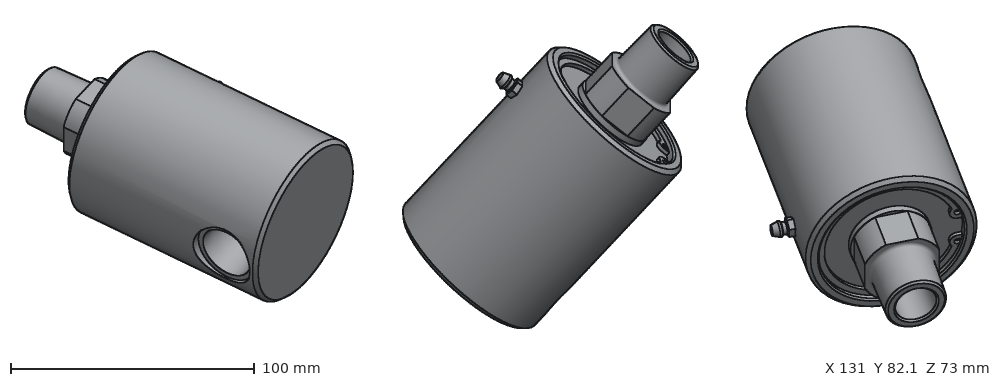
import cadquery as cq
import math


housing_start = 36.9
housing_end = 131.0
housing_radius = 73.0 / 2
housing_chamfer = 1.7

recess_radius = 31.0
recess_depth = 4.3
recess_chamfer = 0.8

ring_thickness = 1.7
ring_inner_radius = 28.2
ear_radius = 3.4
ear_offset_y = -28.5
ear_offset_z = 8.4
ear_hole_radius = 2.8 / 2

nose_tip_radius = 13.0
nose_root_radius = 13.5
nose_chamfer = 0.9
shoulder_start = 21.7
shoulder_fillet = 1.5
collar_start = 38.4
collar_radius = 17.4
shoulder_radius = 17.3
flat_distance = 15.8
bore_radius = 8.8
bore_chamfer = 0.8
bore_depth = 65.5

port_x = 114.0
port_mouth_radius = 23.5 / 2
port_end_radius = 22.7 / 2
port_core_radius = 18.6
spotface_radius = 14.0
spotface_depth = 3.8

nipple_x = 57.8
overall_width = 82.1
nipple_top = overall_width - housing_radius
nipple_tip_radius = 4.6 / 2
nipple_head_radius = 7.0 / 2
nipple_rim_radius = 3.3
nipple_rim_top = 42.8
nipple_rim_bottom = 41.8
nipple_neck_radius = 5.4 / 2
nipple_neck_top = 41.4
nipple_neck_bottom = 39.7
nipple_foot_radius = 3.0
nipple_hex_top = 39.0
nipple_hex_width = 7.2
nipple_embed = 2.6

recess_floor = housing_start + recess_depth
ring_face = recess_floor - ring_thickness


def rod(x_start, x_end, radius):
    """Solid cylinder on the X axis."""
    return cq.Workplane("YZ", origin=(x_start, 0, 0)).circle(radius).extrude(x_end - x_start)


def chamfered_hole(mouth_center, direction, radius, depth, chamfer):
    """Cutting tool for a blind hole with a chamfered mouth."""
    start = cq.Vector(mouth_center)
    axis = cq.Vector(direction)
    shaft = cq.Solid.makeCylinder(radius, depth, start, axis)
    mouth = cq.Solid.makeCone(radius + chamfer, radius, chamfer, start, axis)
    return cq.Workplane(shaft).union(cq.Workplane(mouth))


def make_housing():
    body = rod(housing_start, housing_end, housing_radius).faces("<X or >X").chamfer(housing_chamfer)
    recess = chamfered_hole(
        (housing_start, 0, 0), (1, 0, 0), recess_radius, recess_depth, recess_chamfer
    )
    return body.cut(recess)


def make_retaining_ring():
    plane = cq.Workplane("YZ", origin=(ring_face, 0, 0))
    ring = plane.circle(recess_radius).circle(ring_inner_radius).extrude(ring_thickness)
    gap = plane.center(-recess_radius, 0).rect(recess_radius, 2 * ear_offset_z).extrude(ring_thickness)
    ear_centers = [(ear_offset_y, side * ear_offset_z) for side in (-1, 1)]
    ears = plane.pushPoints(ear_centers).circle(ear_radius).extrude(ring_thickness)
    root_centers = [(ear_offset_y - ear_radius, side * ear_offset_z) for side in (-1, 1)]
    roots = plane.pushPoints(root_centers).rect(2 * ear_radius, 2 * ear_radius).extrude(ring_thickness)
    ears = ears.union(roots).intersect(rod(ring_face, recess_floor, recess_radius))
    ear_holes = plane.pushPoints(ear_centers).circle(ear_hole_radius).extrude(ring_thickness)
    return ring.cut(gap).union(ears).cut(ear_holes)


def make_rotor():
    fillet_start = shoulder_start - shoulder_fillet
    fillet_mid = shoulder_fillet * math.sqrt(0.5)
    nose = (
        cq.Workplane("XY")
        .moveTo(0, 0)
        .lineTo(0, nose_tip_radius - nose_chamfer)
        .lineTo(nose_chamfer, nose_tip_radius)
        .lineTo(fillet_start, nose_root_radius)
        .threePointArc(
            (fillet_start + fillet_mid, nose_root_radius + shoulder_fillet - fillet_mid),
            (shoulder_start, nose_root_radius + shoulder_fillet),
        )
        .lineTo(shoulder_start, 0)
        .close()
        .revolve(360, (0, 0, 0), (1, 0, 0))
    )
    shoulder = (
        cq.Workplane("YZ", origin=(shoulder_start, 0, 0))
        .rect(2 * flat_distance, 2 * flat_distance)
        .extrude(collar_start - shoulder_start)
        .intersect(rod(shoulder_start, collar_start, shoulder_radius))
    )
    collar = rod(collar_start, recess_floor, collar_radius)
    return nose.union(shoulder).union(collar)


def make_port():
    spotface_floor = spotface_depth - housing_radius
    plane = cq.Workplane("XZ", origin=(port_x, spotface_floor, 0))
    spotface = plane.circle(spotface_radius).extrude(spotface_depth)
    inward = cq.Vector(0, 1, 0)
    taper_start = cq.Vector(port_x, spotface_floor, 0)
    taper_end = cq.Vector(port_x, -port_core_radius, 0)
    taper_length = (taper_end - taper_start).Length
    taper = cq.Solid.makeCone(port_mouth_radius, port_end_radius, taper_length, taper_start, inward)
    end = cq.Solid.makeCylinder(port_end_radius, port_core_radius, taper_end, inward)
    hole = cq.Workplane(taper).union(cq.Workplane(end))
    return spotface.union(hole).cut(rod(recess_floor, housing_end, port_core_radius))


def make_grease_nipple():
    head = (
        cq.Workplane("XY", origin=(nipple_x, 0, 0))
        .moveTo(0, nipple_hex_top)
        .lineTo(nipple_foot_radius, nipple_hex_top)
        .lineTo(nipple_neck_radius, nipple_neck_bottom)
        .lineTo(nipple_neck_radius, nipple_neck_top)
        .lineTo(nipple_rim_radius, nipple_rim_bottom)
        .threePointArc(
            (nipple_head_radius, (nipple_rim_bottom + nipple_rim_top) / 2),
            (nipple_rim_radius, nipple_rim_top),
        )
        .lineTo(nipple_tip_radius, nipple_top)
        .lineTo(0, nipple_top)
        .close()
        .revolve(360, (0, 0, 0), (0, 1, 0))
    )
    hex_start = housing_radius - nipple_embed
    corner_diameter = nipple_hex_width / math.cos(math.pi / 6)
    hexagon = (
        cq.Workplane("XZ", origin=(nipple_x, hex_start, 0))
        .transformed(rotate=(0, 0, 90))
        .polygon(6, corner_diameter)
        .extrude(hex_start - nipple_hex_top)
    )
    return head.union(hexagon)


result = (
    make_housing()
    .union(make_retaining_ring())
    .union(make_rotor())
    .cut(chamfered_hole((0, 0, 0), (1, 0, 0), bore_radius, bore_depth, bore_chamfer))
    .cut(make_port())
    .union(make_grease_nipple())
)